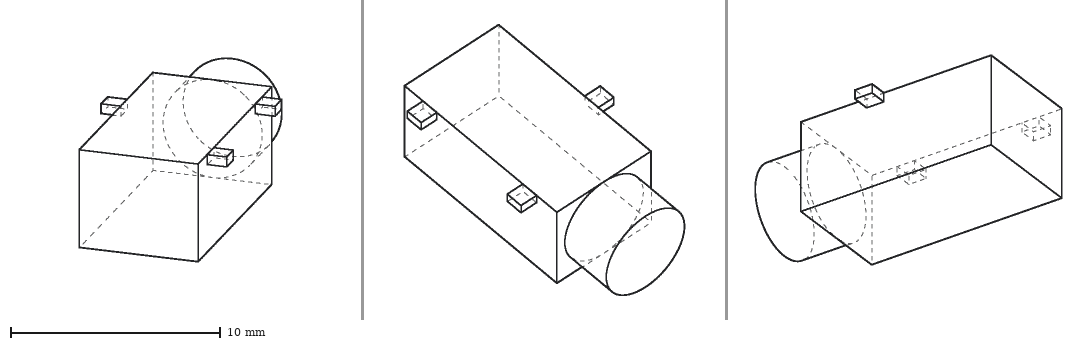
import cadquery as cq

total_length = 14.0
total_width = 8.0
height = 5.0

housing_width = 6.0
barrel_length = 3.0
housing_length = total_length - barrel_length
barrel_diameter = height

tab_reach = (total_width - housing_width) / 2
tab_width = 1.0
tab_thickness = 0.5
left_tab_positions = [6.7]
right_tab_positions = [1.83, 9.05]
LEFT = -1
RIGHT = 1


def make_housing():
    """Block starting at Y = 0, with the barrel extending from its +Y face."""
    block = cq.Workplane("XY").box(
        housing_width, housing_length, height, centered=(True, False, False)
    )
    barrel = (
        cq.Workplane("XZ", origin=(0, housing_length, height / 2))
        .circle(barrel_diameter / 2)
        .extrude(-barrel_length)
    )
    return block.union(barrel)


def make_tab(side, y_center):
    """Flat tab standing out from the left or right wall of the housing."""
    x_center = side * (housing_width + tab_reach) / 2
    z_center = height - tab_thickness / 2
    return (
        cq.Workplane("XY")
        .box(tab_reach, tab_width, tab_thickness)
        .translate((x_center, y_center, z_center))
    )


housing = make_housing()

tabs = []
for side, positions in ((LEFT, left_tab_positions), (RIGHT, right_tab_positions)):
    for y_center in positions:
        tabs.append(make_tab(side, y_center).val())

result = cq.Compound.makeCompound([housing.val(), *tabs])